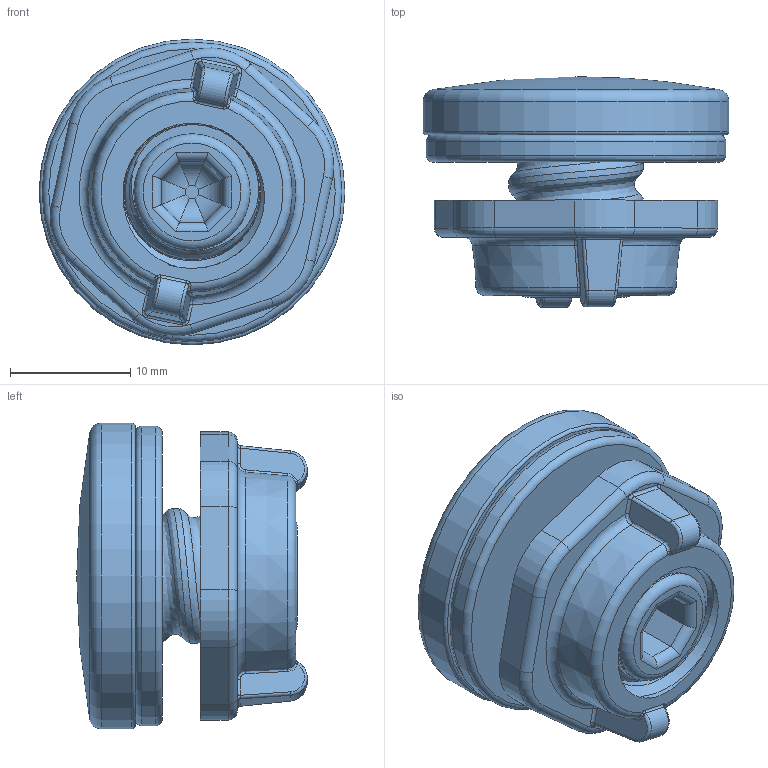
import cadquery as cq
import math


CAP_DIAMETER = 25.4
CAP_HEIGHT = 4.84
DOME_RISE = 1.22
CAP_OUTER_FILLET = 1.016
CAP_LOWER_FILLET = 0.254
ROOT_DIAMETER = 9.65
CREST_DIAMETER = 11.2
SCREW_LENGTH = 13.48
SCREW_TIP_FILLET = 0.762

SOCKET_WIDTH = 5.08
SOCKET_DEPTH = 7.62
SOCKET_MOUTH_RADIUS = 0.762
SOCKET_FLOOR_RADIUS = 2.01

PITCH = 3.175
THREAD_CREST_WIDTH = 0.36
THREAD_END_SETBACK = 0.9
THREAD_GROOVE_START = -0.7 * PITCH
GROOVE_LIP = 0.004

GASKET_DIAMETER = 24.89
GASKET_BORE = 11.43
GASKET_THICKNESS = 2.25
GASKET_FILLET = 0.55

NUT_TOP = 5.42
NUT_BORE = 11.43
NUT_GROOVE_DEPTH = 0.635
NUT_GROOVE_FLAT = 0.5
NUT_GROOVE_FLANK = 0.68
NUT_GROOVE_OVERLAP = 0.2
NUT_GROOVE_START = 0.4 * PITCH
FLANGE_THICKNESS = 3.08
FLANGE_ACROSS_FLATS = 22.352
FLANGE_CORNER_RADIUS = 5.08
FLANGE_FILLET = 0.762
NUT_TURN = 12.0
BOSS_BASE_RADIUS = 8.68
BOSS_HEIGHT = 4.84
BOSS_FILLET = 0.762
DRAFT = math.tan(math.radians(5))

LUG_COUNT = 2
LUG_HEIGHT = 5.8
LUG_BASE_RADIUS = 10.76
LUG_TIP_WIDTH = 2.5
LUG_TIP_RADIUS = 1.524
LUG_FILLET = 0.25
LUG_EMBED = 1.0
TOUCHING = 0.001


def axial_cylinder(diameter, start_depth, end_depth):
    """Solid cylinder on the Y axis between two depths."""
    plane = cq.Workplane("XZ", origin=(0, -start_depth, 0))
    return plane.circle(diameter / 2).extrude(end_depth - start_depth)


def helical_sweep(section, start_depth, end_depth):
    """Right-handed sweep along Y of a section drawn at the +X side, centred on the start depth."""
    helix = cq.Wire.makeHelix(PITCH, end_depth - start_depth, CREST_DIAMETER / 2)
    swept = section.sweep(cq.Workplane(helix), isFrenet=True)
    return swept.rotate((0, 0, 0), (1, 0, 0), 90).translate((0, -start_depth, 0))


def make_cap():
    """Disc with a spherical dome that runs smoothly into a rounded rim."""
    radius = CAP_DIAMETER / 2
    dome_radius = (radius**2 + DOME_RISE**2) / (2 * DOME_RISE)
    dome_center = CAP_HEIGHT - dome_radius
    fillet_x = radius - CAP_OUTER_FILLET
    fillet_y = dome_center + math.sqrt((dome_radius - CAP_OUTER_FILLET) ** 2 - fillet_x**2)
    tangent_angle = math.atan2(fillet_x, fillet_y - dome_center)
    corner_angle = (tangent_angle + math.pi / 2) / 2

    def on_dome(angle):
        return (dome_radius * math.sin(angle), dome_center + dome_radius * math.cos(angle))

    corner_mid = (
        fillet_x + CAP_OUTER_FILLET * math.sin(corner_angle),
        fillet_y + CAP_OUTER_FILLET * math.cos(corner_angle),
    )
    cap = (
        cq.Workplane("XY")
        .lineTo(radius, 0)
        .lineTo(radius, fillet_y)
        .threePointArc(corner_mid, on_dome(tangent_angle))
        .threePointArc(on_dome(tangent_angle / 2), (0, CAP_HEIGHT))
        .close()
        .revolve(360, (0, 0, 0), (0, 1, 0))
    )
    return cap.faces("<Y").edges().fillet(CAP_LOWER_FILLET)


def make_socket():
    """Octagonal hole: the overlap of four prisms with a flared mouth and a rounded floor."""
    half_width = SOCKET_WIDTH / 2
    half_mouth = half_width + SOCKET_MOUTH_RADIUS
    half_floor = half_width - SOCKET_FLOOR_RADIUS
    mouth_y = -SCREW_LENGTH
    floor_y = mouth_y + SOCKET_DEPTH
    diagonal = math.sqrt(0.5)
    mouth_mid = half_mouth - SOCKET_MOUTH_RADIUS * diagonal
    mouth_mid_y = mouth_y + SOCKET_MOUTH_RADIUS * (1 - diagonal)
    floor_mid = half_floor + SOCKET_FLOOR_RADIUS * diagonal
    floor_mid_y = floor_y - SOCKET_FLOOR_RADIUS * (1 - diagonal)
    prism = (
        cq.Workplane("XY")
        .moveTo(-half_mouth, mouth_y)
        .lineTo(half_mouth, mouth_y)
        .threePointArc((mouth_mid, mouth_mid_y), (half_width, mouth_y + SOCKET_MOUTH_RADIUS))
        .lineTo(half_width, floor_y - SOCKET_FLOOR_RADIUS)
        .threePointArc((floor_mid, floor_mid_y), (half_floor, floor_y))
        .lineTo(-half_floor, floor_y)
        .threePointArc((-floor_mid, floor_mid_y), (-half_width, floor_y - SOCKET_FLOOR_RADIUS))
        .lineTo(-half_width, mouth_y + SOCKET_MOUTH_RADIUS)
        .threePointArc((-mouth_mid, mouth_mid_y), (-half_mouth, mouth_y))
        .close()
        .extrude(2 * half_mouth, both=True)
    )
    socket = prism
    for turn in (45, 90, 135):
        socket = socket.intersect(prism.rotate((0, 0, 0), (0, 1, 0), turn))
    return socket


def make_thread(end_depth):
    """Shank with a rounded helical groove, cut flat at both ends."""
    crest_radius = CREST_DIAMETER / 2
    depth = (CREST_DIAMETER - ROOT_DIAMETER) / 2
    half_groove = (PITCH - THREAD_CREST_WIDTH) / 2
    half_run = half_groove / 2
    half_depth = depth / 2
    flank_radius = (half_run**2 + half_depth**2) / (2 * half_depth)
    half_angle = math.asin(half_run / flank_radius) / 2
    mid_run = flank_radius * math.sin(half_angle)
    mid_depth = flank_radius * (1 - math.cos(half_angle))
    root_radius = crest_radius - depth
    lip_radius = crest_radius + GROOVE_LIP
    section = (
        cq.Workplane("XZ", origin=(GROOVE_LIP, 0, 0))
        .moveTo(crest_radius, -half_groove)
        .threePointArc(
            (crest_radius - mid_depth, mid_run - half_groove),
            (crest_radius - half_depth, -half_run),
        )
        .threePointArc((root_radius, 0), (crest_radius - half_depth, half_run))
        .threePointArc(
            (crest_radius - mid_depth, half_groove - mid_run),
            (crest_radius, half_groove),
        )
        .lineTo(lip_radius, half_groove)
        .lineTo(lip_radius, -half_groove)
        .close()
    )
    groove = helical_sweep(section, THREAD_GROOVE_START, end_depth + PITCH)
    blank = axial_cylinder(CREST_DIAMETER, -PITCH / 2, end_depth + PITCH / 2)
    return blank.cut(groove).intersect(axial_cylinder(CAP_DIAMETER, 0, end_depth))


def make_screw():
    """Domed cap with a threaded shank; the thread stops flat a little short of the tip fillet."""
    thread_end = SCREW_LENGTH - THREAD_END_SETBACK
    core = axial_cylinder(ROOT_DIAMETER, 0, SCREW_LENGTH)
    core = core.faces("<Y").edges().fillet(SCREW_TIP_FILLET)
    tip = core.cut(axial_cylinder(CREST_DIAMETER, 0, thread_end))
    return make_cap().union(make_thread(thread_end)).union(tip).cut(make_socket())


def make_gasket():
    ring = axial_cylinder(GASKET_DIAMETER, 0, GASKET_THICKNESS).edges().fillet(GASKET_FILLET)
    return ring.cut(axial_cylinder(GASKET_BORE, 0, GASKET_THICKNESS))


def make_lug():
    """Upright lug with drafted outer face and sides and a rounded tip."""
    tip_depth = NUT_TOP + FLANGE_THICKNESS + LUG_HEIGHT
    base_depth = tip_depth - LUG_HEIGHT
    start_depth = base_depth - LUG_EMBED
    draft_angle = math.atan(DRAFT)
    arc_depth = tip_depth - LUG_TIP_RADIUS
    tangent_depth = arc_depth + LUG_TIP_RADIUS * math.sin(draft_angle)
    tangent_z = LUG_BASE_RADIUS - DRAFT * (tangent_depth - base_depth)
    arc_z = tangent_z - LUG_TIP_RADIUS * math.cos(draft_angle)
    inner_z = arc_z - LUG_TIP_RADIUS
    half_tip = LUG_TIP_WIDTH / 2
    half_base = half_tip + DRAFT * (tip_depth - start_depth)
    side = (
        cq.Workplane("YZ")
        .moveTo(-start_depth, inner_z)
        .lineTo(-start_depth, LUG_BASE_RADIUS + DRAFT * LUG_EMBED)
        .lineTo(-tangent_depth, tangent_z)
        .threePointArc((-tip_depth, arc_z), (-arc_depth, inner_z))
        .close()
        .extrude(half_base, both=True)
    )
    front = (
        cq.Workplane("XY")
        .moveTo(-half_base, -start_depth)
        .lineTo(half_base, -start_depth)
        .lineTo(half_tip, -tip_depth)
        .lineTo(-half_tip, -tip_depth)
        .close()
        .extrude(LUG_BASE_RADIUS + LUG_EMBED)
    )
    lug = side.intersect(front)
    return lug.faces("<X or >X").edges("not (>Y or <Z)").fillet(LUG_FILLET)


def add_lug(nut, lug):
    """Joins a lug to the nut and rounds the edges where the two meet."""
    joined = nut.union(lug)
    joint_edges = []
    for edge in joined.edges().vals():
        middle = cq.Vertex.makeVertex(*edge.positionAt(0.5).toTuple())
        if max(middle.distance(nut.val()), middle.distance(lug.val())) < TOUCHING:
            joint_edges.append(edge)
    return joined.newObject(joint_edges).fillet(LUG_FILLET)


def make_threaded_bore(nut_end):
    """Bore with a helical groove, running past both ends of the nut."""
    half_crest = NUT_GROOVE_FLAT / 2
    half_base = half_crest + NUT_GROOVE_FLANK * (1 + NUT_GROOVE_OVERLAP / NUT_GROOVE_DEPTH)
    inner_radius = NUT_BORE / 2 - NUT_GROOVE_OVERLAP
    outer_radius = NUT_BORE / 2 + NUT_GROOVE_DEPTH
    section = (
        cq.Workplane("XZ")
        .moveTo(inner_radius, -half_base)
        .lineTo(outer_radius, -half_crest)
        .lineTo(outer_radius, half_crest)
        .lineTo(inner_radius, half_base)
        .close()
    )
    bore = axial_cylinder(NUT_BORE, 0, nut_end + PITCH)
    return bore.union(helical_sweep(section, NUT_GROOVE_START, nut_end + PITCH))


def make_nut():
    """Rounded hexagonal flange, tapered boss, two lugs and a threaded bore."""
    flange = (
        cq.Workplane("XZ", origin=(0, -NUT_TOP, 0))
        .polygon(6, FLANGE_ACROSS_FLATS, circumscribed=True)
        .extrude(FLANGE_THICKNESS)
        .edges("|Y")
        .fillet(FLANGE_CORNER_RADIUS)
        .faces("<Y")
        .edges()
        .fillet(FLANGE_FILLET)
    )
    base_y = -NUT_TOP - FLANGE_THICKNESS
    end_y = base_y - BOSS_HEIGHT
    boss = (
        cq.Workplane("XY")
        .moveTo(0, base_y)
        .lineTo(BOSS_BASE_RADIUS, base_y)
        .lineTo(BOSS_BASE_RADIUS - DRAFT * BOSS_HEIGHT, end_y)
        .lineTo(0, end_y)
        .close()
        .revolve(360, (0, 0, 0), (0, 1, 0))
        .faces("<Y")
        .edges()
        .fillet(BOSS_FILLET)
    )
    nut = flange.union(boss)
    foot = BOSS_BASE_RADIUS + TOUCHING
    foot_circle = cq.selectors.BoxSelector(
        (-foot, base_y - TOUCHING, -foot),
        (foot, base_y + TOUCHING, foot),
        boundingbox=True,
    )
    nut = nut.edges(foot_circle).fillet(BOSS_FILLET)
    for index in range(LUG_COUNT):
        nut = add_lug(nut, make_lug().rotate((0, 0, 0), (0, 1, 0), index * 360 / LUG_COUNT))
    nut = nut.rotate((0, 0, 0), (0, 1, 0), NUT_TURN)
    return nut.cut(make_threaded_bore(NUT_TOP + FLANGE_THICKNESS + BOSS_HEIGHT))


screw = make_screw()
gasket = make_gasket()
nut = make_nut()

result = cq.Compound.makeCompound([body.solids().val() for body in (screw, gasket, nut)])